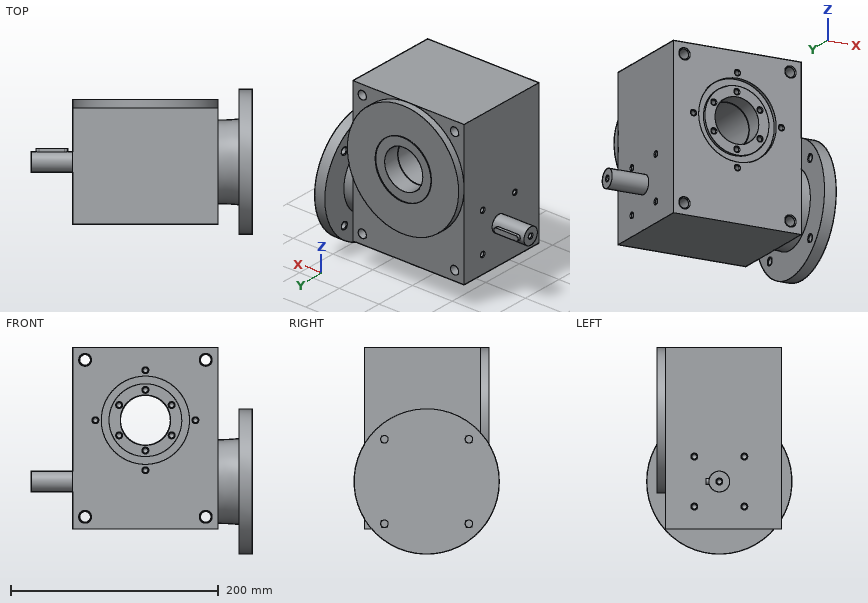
import cadquery as cq
import math


BLOCK_SIZE = 140.0
BLOCK_HEIGHT = 174.9
BLOCK_DEPTH = 112.0
FLANGE_DIAMETER = BLOCK_SIZE
OUTPUT_FLANGE_THICKNESS = 8.0
TOTAL_DEPTH = BLOCK_DEPTH + OUTPUT_FLANGE_THICKNESS

HALF_WIDTH = BLOCK_SIZE / 2
FRONT_Y = -TOTAL_DEPTH / 2
BACK_Y = TOTAL_DEPTH / 2
BLOCK_TOP = FLANGE_DIAMETER / 2
BLOCK_BOTTOM = BLOCK_TOP - BLOCK_HEIGHT

INPUT_Z = -59.0
NECK_LENGTH = 20.0
NECK_DIAMETER = 80.7
NECK_FLARE = 1.0
MOTOR_FLANGE_THICKNESS = 13.0
MOTOR_BOLT_CIRCLE = 115.0
MOTOR_BOLT_HOLE = 7.2
MOTOR_BOLT_MOUTH = 9.0

MOUNTING_HOLE = 10.2
MOUNTING_MOUTH = 12.4
MOUNTING_INSET = 12.0

TAP_DIAMETER = 5.0
TAP_MOUTH = 6.5
TAP_DEPTH = 12.0
TAP_TIP_ANGLE = 120
FRONT_TAP_RADIUS = 48.1
HUB_TAP_RADIUS = 29.2
INPUT_TAP_OFFSET = 24.0

HUB_DIAMETER = 70.0
GROOVE_DIAMETER = 85.0
GROOVE_DEPTH = 4.0
HUB_SETBACK = 1.0
BORE_DIAMETER = 48.0
BORE_RELIEF_DIAMETER = 49.0
BORE_LAND_LENGTH = 20.0

SHAFT_DIAMETER = 20.0
SHAFT_LENGTH = 40.0
KEY_LENGTH = 30.7
KEY_WIDTH = 6.0
KEY_DEPTH = KEY_WIDTH
KEY_TOP = 13.0

SHAFT_END_X = -HALF_WIDTH - SHAFT_LENGTH

TOWARD_X = cq.Vector(1, 0, 0)
TOWARD_Y = cq.Vector(0, 1, 0)


def y_cylinder(diameter, y_start, y_end):
    """Cylinder on the output axis."""
    start = cq.Vector(0, y_start, 0)
    return cq.Workplane(cq.Solid.makeCylinder(diameter / 2, y_end - y_start, start, TOWARD_Y))


def chamfered_hole(diameter, mouth_diameter, depth, mouth, direction):
    """Cutter for a flat-ended hole with a 45 degree chamfer at its mouth."""
    radius = diameter / 2
    mouth_radius = mouth_diameter / 2
    drill = cq.Solid.makeCylinder(radius, depth, mouth, direction)
    chamfer = cq.Solid.makeCone(mouth_radius, radius, mouth_radius - radius, mouth, direction)
    return cq.Workplane(drill).union(cq.Workplane(chamfer))


def tapped_hole(mouth, direction):
    """Cutter for a blind tapped hole with a chamfered mouth and a drill-point bottom."""
    radius = TAP_DIAMETER / 2
    point_length = radius / math.tan(math.radians(TAP_TIP_ANGLE / 2))
    bottom = mouth + direction * TAP_DEPTH
    point = cq.Solid.makeCone(radius, 0, point_length, bottom, direction)
    hole = chamfered_hole(TAP_DIAMETER, TAP_MOUTH, TAP_DEPTH, mouth, direction)
    return hole.union(cq.Workplane(point))


def cut_tap_ring(body, count, radius, face_y):
    """Cut tapped holes evenly spaced round the output axis, the first straight above it."""
    for i in range(count):
        angle = 2 * math.pi * i / count
        mouth = cq.Vector(radius * math.sin(angle), face_y, radius * math.cos(angle))
        body = body.cut(tapped_hole(mouth, TOWARD_Y))
    return body


def make_block():
    """Block with the round output flange on its back."""
    block = cq.Workplane("XY").box(BLOCK_SIZE, BLOCK_DEPTH, BLOCK_HEIGHT, centered=(True, False, False))
    block = block.translate((0, FRONT_Y, BLOCK_BOTTOM))
    return block.union(y_cylinder(FLANGE_DIAMETER, FRONT_Y + BLOCK_DEPTH, BACK_Y))


def make_motor_flange():
    """Flared neck and motor flange as one turned shape about the input axis."""
    neck_radius = NECK_DIAMETER / 2
    neck_mid_x = HALF_WIDTH + NECK_LENGTH / 2
    neck_end_x = HALF_WIDTH + NECK_LENGTH
    flange_end_x = neck_end_x + MOTOR_FLANGE_THICKNESS
    flange = (
        cq.Workplane("XY")
        .moveTo(HALF_WIDTH, 0)
        .lineTo(HALF_WIDTH, neck_radius)
        .threePointArc((neck_mid_x, neck_radius + NECK_FLARE / 4), (neck_end_x, neck_radius + NECK_FLARE))
        .lineTo(neck_end_x, FLANGE_DIAMETER / 2)
        .lineTo(flange_end_x, FLANGE_DIAMETER / 2)
        .lineTo(flange_end_x, 0)
        .close()
        .revolve(360, (0, 0, 0), (1, 0, 0))
        .translate((0, 0, INPUT_Z))
    )
    offset = MOTOR_BOLT_CIRCLE / 2 * math.sqrt(0.5)
    for y in (-offset, offset):
        for z in (INPUT_Z - offset, INPUT_Z + offset):
            mouth = cq.Vector(neck_end_x, y, z)
            hole = chamfered_hole(
                MOTOR_BOLT_HOLE, MOTOR_BOLT_MOUTH, MOTOR_FLANGE_THICKNESS, mouth, TOWARD_X
            )
            flange = flange.cut(hole)
    return flange


def cut_mounting_holes(body):
    """Through holes in the block corners, chamfered at the front."""
    x_offset = HALF_WIDTH - MOUNTING_INSET
    for x in (-x_offset, x_offset):
        for z in (BLOCK_BOTTOM + MOUNTING_INSET, BLOCK_TOP - MOUNTING_INSET):
            mouth = cq.Vector(x, FRONT_Y, z)
            body = body.cut(chamfered_hole(MOUNTING_HOLE, MOUNTING_MOUTH, TOTAL_DEPTH, mouth, TOWARD_Y))
    return body


def cut_input_taps(body):
    """Four tapped holes in a square round the input shaft."""
    for y in (-INPUT_TAP_OFFSET, INPUT_TAP_OFFSET):
        for z in (INPUT_Z - INPUT_TAP_OFFSET, INPUT_Z + INPUT_TAP_OFFSET):
            body = body.cut(tapped_hole(cq.Vector(-HALF_WIDTH, y, z), TOWARD_X))
    return body


def make_housing():
    """Block, output flange and motor flange, with a seat for the hollow shaft."""
    body = make_block().union(make_motor_flange())
    body = body.cut(y_cylinder(HUB_DIAMETER, FRONT_Y, BACK_Y))
    body = body.cut(y_cylinder(GROOVE_DIAMETER, FRONT_Y, FRONT_Y + GROOVE_DEPTH))
    body = cut_mounting_holes(body)
    body = cut_tap_ring(body, 4, FRONT_TAP_RADIUS, FRONT_Y)
    return cut_input_taps(body)


def make_hollow_shaft():
    """Output sleeve with a bore land at each end and a relieved middle."""
    front = FRONT_Y + HUB_SETBACK
    back = BACK_Y - HUB_SETBACK
    sleeve = y_cylinder(HUB_DIAMETER, front, back).cut(y_cylinder(BORE_DIAMETER, front, back))
    relief = y_cylinder(BORE_RELIEF_DIAMETER, front + BORE_LAND_LENGTH, back - BORE_LAND_LENGTH)
    return cut_tap_ring(sleeve.cut(relief), 6, HUB_TAP_RADIUS, front)


def make_input_shaft():
    """Shaft end with a round-ended key on its +Y side and a tapped centre hole."""
    end_centre = cq.Vector(SHAFT_END_X, 0, INPUT_Z)
    shaft = cq.Workplane(cq.Solid.makeCylinder(SHAFT_DIAMETER / 2, SHAFT_LENGTH, end_centre, TOWARD_X))
    key_x = SHAFT_END_X + SHAFT_LENGTH / 2
    key = (
        cq.Workplane("XZ", origin=(key_x, KEY_TOP, INPUT_Z))
        .slot2D(KEY_LENGTH, KEY_WIDTH)
        .extrude(KEY_DEPTH)
    )
    return shaft.union(key).cut(tapped_hole(end_centre, TOWARD_X))


housing = make_housing()
hollow_shaft = make_hollow_shaft()
input_shaft = make_input_shaft()

result = cq.Compound.makeCompound([housing.val(), hollow_shaft.val(), input_shaft.val()])